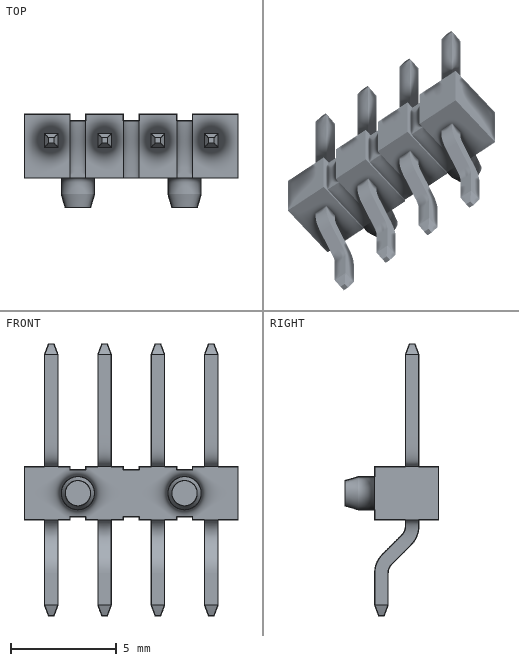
import cadquery as cq
import math

PITCH = 2.54
PIN_COUNT = 4

HOUSING_LENGTH = 10.17
HOUSING_DEPTH = 3.04
HOUSING_HEIGHT = 2.54
GROOVE_WIDTH = 0.74
GROOVE_DEPTH = 0.14
GROOVE_BACK_DEPTH = 0.31

PIN_SIZE = 0.65
PIN_Y = 1.79
FOOT_Y = PIN_SIZE / 2
PIN_TOP_Z = 8.38
PIN_HEIGHT = 12.95
PIN_BOTTOM_Z = PIN_TOP_Z - PIN_HEIGHT
TIP_LENGTH = 0.52
TIP_SIZE = 0.26
BEND_ANGLE = math.radians(45)
BEND_START_Z = -0.3
BEND_RADIUS = 0.93

PEG_COUNT = 2
PEG_SPACING = 2 * PITCH
PEG_DIAMETER = 1.58
PEG_END_DIAMETER = 1.2
PEG_LENGTH = 1.41
PEG_STRAIGHT_LENGTH = 0.78


def stations(count, spacing):
    """X positions of evenly spaced items centred on X = 0."""
    return [(index - (count - 1) / 2) * spacing for index in range(count)]


def make_block():
    """Housing block with a three-sided groove midway between neighbouring pins."""
    block = cq.Workplane("XY").box(
        HOUSING_LENGTH, HOUSING_DEPTH, HOUSING_HEIGHT, centered=(True, False, False)
    )
    groove_floor_depth = HOUSING_DEPTH - GROOVE_BACK_DEPTH
    groove_floor_height = HOUSING_HEIGHT - 2 * GROOVE_DEPTH
    for x in stations(PIN_COUNT - 1, PITCH):
        slice_between_pins = (
            cq.Workplane("XY")
            .box(GROOVE_WIDTH, HOUSING_DEPTH, HOUSING_HEIGHT, centered=(True, False, False))
            .translate((x, 0, 0))
        )
        groove_floor = (
            cq.Workplane("XY")
            .box(GROOVE_WIDTH, groove_floor_depth, groove_floor_height, centered=(True, False, False))
            .translate((x, 0, GROOVE_DEPTH))
        )
        block = block.cut(slice_between_pins.cut(groove_floor))
    return block


def pin_centreline():
    """Path in the YZ plane: straight, bend forward, slope, bend back, straight."""
    bend_run = BEND_RADIUS * (1 - math.cos(BEND_ANGLE))
    bend_drop = BEND_RADIUS * math.sin(BEND_ANGLE)
    slope_run = PIN_Y - FOOT_Y - 2 * bend_run
    slope_start = (PIN_Y - bend_run, BEND_START_Z - bend_drop)
    slope_end = (FOOT_Y + bend_run, slope_start[1] - slope_run / math.tan(BEND_ANGLE))
    foot_start = (FOOT_Y, slope_end[1] - bend_drop)
    return (
        cq.Workplane("YZ")
        .moveTo(PIN_Y, PIN_TOP_Z - TIP_LENGTH)
        .lineTo(PIN_Y, BEND_START_Z)
        .tangentArcPoint(slope_start, relative=False)
        .lineTo(*slope_end)
        .tangentArcPoint(foot_start, relative=False)
        .lineTo(FOOT_Y, PIN_BOTTOM_Z + TIP_LENGTH)
    )


def make_tip(y, base_z, length):
    """Square taper from the pin section at base_z; a negative length points down."""
    return (
        cq.Workplane("XY", origin=(0, y, base_z))
        .rect(PIN_SIZE, PIN_SIZE)
        .workplane(offset=length)
        .rect(TIP_SIZE, TIP_SIZE)
        .loft(ruled=True)
    )


def make_pin():
    """One bent pin at X = 0 with a tapered tip at each end."""
    shank = (
        cq.Workplane("XY", origin=(0, PIN_Y, PIN_TOP_Z - TIP_LENGTH))
        .rect(PIN_SIZE, PIN_SIZE)
        .sweep(pin_centreline())
    )
    top_tip = make_tip(PIN_Y, PIN_TOP_Z - TIP_LENGTH, TIP_LENGTH)
    foot_tip = make_tip(FOOT_Y, PIN_BOTTOM_Z + TIP_LENGTH, -TIP_LENGTH)
    return shank.union(top_tip).union(foot_tip)


def make_header():
    """Housing and its row of pins as one solid."""
    header = make_block()
    pin = make_pin()
    for x in stations(PIN_COUNT, PITCH):
        header = header.union(pin.translate((x, 0, 0)))
    return header.solids()


def make_peg(x):
    """Round peg standing on the front face, straight and then tapered to its end."""
    half_profile = [
        (0, 0),
        (PEG_DIAMETER / 2, 0),
        (PEG_DIAMETER / 2, -PEG_STRAIGHT_LENGTH),
        (PEG_END_DIAMETER / 2, -PEG_LENGTH),
        (0, -PEG_LENGTH),
    ]
    peg = cq.Workplane("XY").polyline(half_profile).close().revolve(360, (0, 0), (0, 1))
    return peg.translate((x, 0, HOUSING_HEIGHT / 2))


header = make_header()
pegs = [make_peg(x) for x in stations(PEG_COUNT, PEG_SPACING)]

result = cq.Compound.makeCompound([header.val(), *[peg.val() for peg in pegs]])